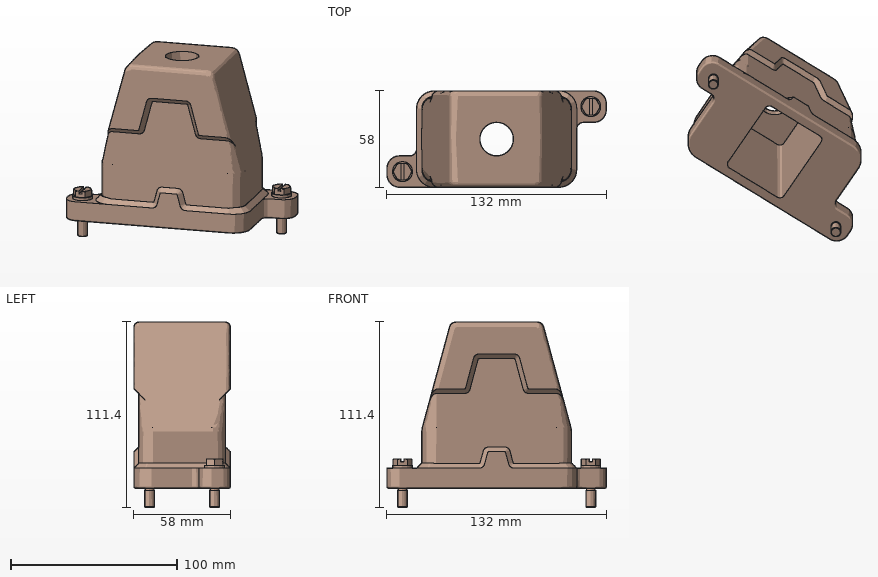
import cadquery as cq
import math

HOOD_HEIGHT = 100.0
HALF_DEPTH = 29.0
STEP = 2.8
STEP_FACE_ANGLE = 45.0
STEP_SIDE_ANGLE = 15.0
STEP_OUTER_ROUND = 3.4
STEP_INNER_ROUND = 0.7
SELECT_MARGIN = 1.0

BASE_HALF_LENGTH = 48.2
BASE_HEIGHT = 12.1
BASE_CORNER_RADIUS = 10.8
BASE_BOTTOM_ROUND = 1.0
APRON_HEIGHT = 3.2

SCREW_X = 56.6
SCREW_Y = 19.55
LUG_HALF_WIDTH = 9.5
LUG_END = 66.0
LUG_CORNER_RADIUS = 7.7
LUG_INNER_RADIUS = 4.0

WALL_HALF_DEPTH = HALF_DEPTH - STEP
HOOD_HALF_LENGTH = 45.1
BEND_Z = 35.2
BEND_HALF_HEIGHT = 1.3
SLOPE_START = BEND_Z + BEND_HALF_HEIGHT
SLOPE_ANGLE = 15.15
SIDE_DRAFT = 0.75
RELIEF_MARGIN = 5.0
HOOD_CORNER_X = 36.0
TOP_ROUND_MIDDLE = 4.2
TOP_ROUND_END = 5.5
SHELL_EDGE_ROUND = 3.15

RECESS_START = 30.0
RECESS_LEDGE_Z = 59.8
RECESS_TOP_Z = 80.7
RECESS_HALF_TOP = 13.2
RECESS_HALF_SPAN = 60.0
PANEL_LEDGE_Z = BASE_HEIGHT + STEP
PANEL_TOP_Z = 24.8
PANEL_HALF_TOP = 7.4
PANEL_HALF_SPAN = 30.0
PANEL_START = 5.0

CABLE_HOLE_DIAMETER = 20.0
TOP_WALL = 7.0
CAVITY_HALF_LENGTH = 20.0
CAVITY_HALF_DEPTH = 23.4
CAVITY_CORNER_RADIUS = 3.0

THREAD_DIAMETER = 6.0
NECK_DIAMETER = 5.3
NECK_LENGTH = 1.4
SCREW_TIP_Z = -11.4
SCREW_TIP_CHAMFER = 0.35
COLLAR_DIAMETER = 12.0
COLLAR_HEIGHT = 1.7
HEAD_SIDES = 6
HEAD_ACROSS_FLATS = 10.0
HEAD_HEIGHT = 3.9
HEAD_BEVEL_DIAMETER = 10.6
HEAD_BEVEL_HEIGHT = 0.5
SLOT_WIDTH = 1.8
SLOT_DEPTH = 1.7


def tan(degrees):
    return math.tan(math.radians(degrees))


def hood_half_length(z, y=0.0):
    """Half length of the hood along X at height z and distance y from the middle."""
    lean = max(z - BEND_Z, 0.0) * tan(SLOPE_ANGLE)
    return HOOD_HALF_LENGTH - lean - abs(y) * tan(SIDE_DRAFT)


def make_base():
    base = (
        cq.Workplane("XY")
        .rect(2 * BASE_HALF_LENGTH, 2 * HALF_DEPTH)
        .extrude(BASE_HEIGHT)
        .edges("|Z")
        .fillet(BASE_CORNER_RADIUS)
    )
    lug_y = HALF_DEPTH - LUG_HALF_WIDTH
    for side in (-1, 1):
        lug = (
            cq.Workplane("XY")
            .center(side * LUG_END / 2, side * lug_y)
            .rect(LUG_END, 2 * LUG_HALF_WIDTH)
            .extrude(BASE_HEIGHT)
            .edges("|Z and >X" if side > 0 else "|Z and <X")
            .fillet(LUG_CORNER_RADIUS)
        )
        base = base.union(lug)
    lug_inner_y = lug_y - LUG_HALF_WIDTH
    for side in (-1, 1):
        corner = (side * BASE_HALF_LENGTH, side * lug_inner_y, BASE_HEIGHT / 2)
        base = base.edges(cq.selectors.NearestToPointSelector(corner)).fillet(LUG_INNER_RADIUS)
    return base.faces("<Z").edges().fillet(BASE_BOTTOM_ROUND)


def make_apron():
    """45 degree skirt between the base and the hood walls."""
    outline = cq.Sketch().rect(2 * BASE_HALF_LENGTH, 2 * HALF_DEPTH).vertices().fillet(BASE_CORNER_RADIUS)
    plane = cq.Workplane("XY", origin=(0, 0, BASE_HEIGHT))
    return plane.placeSketch(outline).extrude(APRON_HEIGHT, taper=STEP_FACE_ANGLE)


def corner_round(z):
    """Points of the +X +Y corner round at height z: on the end wall, halfway, on the front wall."""
    radius = hood_half_length(z, WALL_HALF_DEPTH) - HOOD_CORNER_X
    turn_y = WALL_HALF_DEPTH - radius
    end_x = hood_half_length(z, turn_y)
    half_way = (
        HOOD_CORNER_X + (end_x - HOOD_CORNER_X) * math.sin(math.pi / 4),
        turn_y + radius * math.cos(math.pi / 4),
    )
    return (end_x, turn_y), half_way, (HOOD_CORNER_X, WALL_HALF_DEPTH)


def wall_section(z):
    """Closed outline of the upright walls at height z, with ends creased at Y = 0."""
    (end_x, turn_y), (arc_x, arc_y), _ = corner_round(z)
    middle_x = hood_half_length(z)
    return (
        cq.Workplane("XY", origin=(0, 0, z))
        .moveTo(-HOOD_CORNER_X, -WALL_HALF_DEPTH)
        .lineTo(HOOD_CORNER_X, -WALL_HALF_DEPTH)
        .threePointArc((arc_x, -arc_y), (end_x, -turn_y))
        .lineTo(middle_x, 0)
        .lineTo(end_x, turn_y)
        .threePointArc((arc_x, arc_y), (HOOD_CORNER_X, WALL_HALF_DEPTH))
        .lineTo(-HOOD_CORNER_X, WALL_HALF_DEPTH)
        .threePointArc((-arc_x, arc_y), (-end_x, turn_y))
        .lineTo(-middle_x, 0)
        .lineTo(-end_x, -turn_y)
        .threePointArc((-arc_x, -arc_y), (-HOOD_CORNER_X, -WALL_HALF_DEPTH))
        .close()
        .wires()
        .val()
    )


def wall_stage(bottom, top):
    return cq.Workplane(obj=cq.Solid.makeLoft([wall_section(bottom), wall_section(top)], True))


def make_lower_walls():
    bend_start = BEND_Z - BEND_HALF_HEIGHT
    return wall_stage(BASE_HEIGHT / 2, bend_start).union(wall_stage(bend_start, SLOPE_START))


def corner_relief_section(z):
    """Area outside the +X +Y corner round at height z."""
    end, half_way, front = corner_round(z)
    outer_x = end[0] + RELIEF_MARGIN
    outer_y = WALL_HALF_DEPTH + RELIEF_MARGIN
    return (
        cq.Workplane("XY", origin=(0, 0, z))
        .moveTo(*end)
        .threePointArc(half_way, front)
        .lineTo(front[0], outer_y)
        .lineTo(outer_x, outer_y)
        .lineTo(outer_x, end[1])
        .close()
        .wires()
        .val()
    )


def make_corner_relief():
    """What the tapering corner round takes off the +X +Y corner, below the 45 degree ledge."""
    drop = RECESS_LEDGE_Z - BEND_Z
    below_ledge = (
        cq.Workplane("YZ", origin=(-RECESS_HALF_SPAN, 0, 0))
        .moveTo(HALF_DEPTH - drop, BEND_Z)
        .lineTo(HALF_DEPTH + RELIEF_MARGIN, BEND_Z)
        .lineTo(HALF_DEPTH + RELIEF_MARGIN, RECESS_LEDGE_Z + RELIEF_MARGIN)
        .close()
        .extrude(2 * RECESS_HALF_SPAN)
    )
    sections = [corner_relief_section(z) for z in (BEND_Z, RECESS_LEDGE_Z)]
    outside_round = cq.Workplane(obj=cq.Solid.makeLoft(sections, True))
    return outside_round.intersect(below_ledge)


def shell_section(y, top_round):
    """Outline of the upper shell in the plane at y: sloped ends and a rounded top."""
    bottom_x = hood_half_length(SLOPE_START, y)
    corner_x = hood_half_length(HOOD_HEIGHT, y)
    turn = math.radians(90 - SLOPE_ANGLE)
    tangent = top_round * math.tan(turn / 2)
    slope = math.radians(SLOPE_ANGLE)
    low_x = corner_x + tangent * math.sin(slope)
    low_z = HOOD_HEIGHT - tangent * math.cos(slope)
    flat_x = corner_x - tangent
    middle_x = flat_x + top_round * math.sin(turn / 2)
    middle_z = HOOD_HEIGHT - top_round * (1 - math.cos(turn / 2))
    return (
        cq.Workplane("XZ", origin=(0, y, 0))
        .moveTo(-bottom_x, SLOPE_START)
        .lineTo(bottom_x, SLOPE_START)
        .lineTo(low_x, low_z)
        .threePointArc((middle_x, middle_z), (flat_x, HOOD_HEIGHT))
        .lineTo(-flat_x, HOOD_HEIGHT)
        .threePointArc((-middle_x, middle_z), (-low_x, low_z))
        .close()
        .wires()
        .val()
    )


def step_block(face_y, toward_y, ledge_z, top_z, half_top, bottom_z, half_span):
    """Slab with a raised trapezoid, tapering at 45 degrees from face_y toward toward_y."""
    half_foot = half_top + (top_z - ledge_z) * tan(STEP_SIDE_ANGLE)
    facing = 1 if toward_y > face_y else -1
    plane = cq.Plane(origin=(0, face_y, 0), xDir=(-facing, 0, 0), normal=(0, facing, 0))
    points = [
        (-half_span, bottom_z),
        (half_span, bottom_z),
        (half_span, ledge_z),
        (half_foot, ledge_z),
        (half_top, top_z),
        (-half_top, top_z),
        (-half_foot, ledge_z),
        (-half_span, ledge_z),
    ]
    outline = cq.Sketch().polygon(points + points[:1])
    middle = (top_z + ledge_z) / 2
    top_box = cq.selectors.BoxSelector(
        (-half_span, middle, -SELECT_MARGIN), (half_span, top_z + SELECT_MARGIN, SELECT_MARGIN)
    )
    inner_x = (half_foot + half_span) / 2
    foot_box = cq.selectors.BoxSelector(
        (-inner_x, ledge_z - SELECT_MARGIN, -SELECT_MARGIN), (inner_x, middle, SELECT_MARGIN)
    )
    outline = outline.vertices(top_box).fillet(STEP_OUTER_ROUND).reset()
    outline = outline.vertices(foot_box).fillet(STEP_INNER_ROUND).reset()
    return cq.Workplane(plane).placeSketch(outline).extrude(abs(toward_y - face_y), taper=STEP_FACE_ANGLE)


def make_upper_shell():
    shell = cq.Workplane("XY")
    middle = shell_section(0, TOP_ROUND_MIDDLE)
    for side in (-1, 1):
        end = shell_section(side * HALF_DEPTH, TOP_ROUND_END)
        shell = shell.union(cq.Workplane(obj=cq.Solid.makeLoft([middle, end], True)))
    rim_z = SLOPE_START + SELECT_MARGIN
    for face in ("<Y", ">Y"):
        rim = shell.faces(face).edges(
            cq.selectors.BoxSelector(
                (-HOOD_HALF_LENGTH, -HALF_DEPTH - SELECT_MARGIN, rim_z),
                (HOOD_HALF_LENGTH, HALF_DEPTH + SELECT_MARGIN, HOOD_HEIGHT + SELECT_MARGIN),
            )
        )
        shell = rim.fillet(SHELL_EDGE_ROUND)
    relief = make_corner_relief()
    for corner in (relief, relief.mirror("YZ"), relief.mirror("XZ"), relief.mirror("YZ").mirror("XZ")):
        shell = shell.cut(corner)
    for side in (-1, 1):
        recess = step_block(
            side * HALF_DEPTH, side * WALL_HALF_DEPTH,
            RECESS_LEDGE_Z, RECESS_TOP_Z, RECESS_HALF_TOP,
            RECESS_START, RECESS_HALF_SPAN,
        )
        shell = shell.cut(recess)
    return shell


def make_front_panel(side):
    """Raised trapezoid above the base on the front or back wall."""
    return step_block(
        side * WALL_HALF_DEPTH, side * HALF_DEPTH,
        PANEL_LEDGE_Z, PANEL_TOP_Z, PANEL_HALF_TOP,
        PANEL_START, PANEL_HALF_SPAN,
    )


def make_cavity():
    """Straight inside of the hood, open below, with the cable hole in the top wall."""
    room = (
        cq.Workplane("XY")
        .rect(2 * CAVITY_HALF_LENGTH, 2 * CAVITY_HALF_DEPTH)
        .extrude(HOOD_HEIGHT - TOP_WALL)
        .edges("|Z")
        .fillet(CAVITY_CORNER_RADIUS)
    )
    return room.union(cq.Workplane("XY").circle(CABLE_HOLE_DIAMETER / 2).extrude(HOOD_HEIGHT))


def make_screw():
    """Slotted hexagon screw with collar, standing on the axis X = Y = 0."""
    collar_top = BASE_HEIGHT + COLLAR_HEIGHT
    head_top = collar_top + HEAD_HEIGHT
    thread = (
        cq.Workplane("XY", origin=(0, 0, SCREW_TIP_Z))
        .circle(THREAD_DIAMETER / 2)
        .extrude(-NECK_LENGTH - SCREW_TIP_Z)
        .faces("<Z")
        .chamfer(SCREW_TIP_CHAMFER)
    )
    neck = (
        cq.Workplane("XY", origin=(0, 0, -NECK_LENGTH))
        .circle(NECK_DIAMETER / 2)
        .extrude(NECK_LENGTH + BASE_HEIGHT)
    )
    collar = cq.Workplane("XY", origin=(0, 0, BASE_HEIGHT)).circle(COLLAR_DIAMETER / 2).extrude(COLLAR_HEIGHT)
    corner_diameter = HEAD_ACROSS_FLATS / math.cos(math.pi / HEAD_SIDES)
    bevel = (
        cq.Workplane("XY", origin=(0, 0, collar_top))
        .circle(corner_diameter / 2)
        .extrude(HEAD_HEIGHT)
        .faces(">Z")
        .chamfer(HEAD_BEVEL_HEIGHT, (corner_diameter - HEAD_BEVEL_DIAMETER) / 2)
    )
    slot_middle = cq.Workplane("XY", origin=(0, 0, head_top - SLOT_DEPTH / 2))
    slot = slot_middle.box(SLOT_WIDTH, COLLAR_DIAMETER, SLOT_DEPTH)
    head = (
        cq.Workplane("XY", origin=(0, 0, collar_top))
        .polygon(HEAD_SIDES, corner_diameter)
        .extrude(HEAD_HEIGHT)
        .intersect(bevel)
        .cut(slot)
    )
    return thread.union(neck).union(collar).union(head)


hood = make_lower_walls().union(make_upper_shell())
body = make_base().union(make_apron()).union(hood)
for wall_side in (-1, 1):
    body = body.union(make_front_panel(wall_side))
body = body.cut(make_cavity())
for screw_side in (-1, 1):
    screw = make_screw().translate((screw_side * SCREW_X, screw_side * SCREW_Y, 0))
    body = body.union(screw)
result = body.clean()